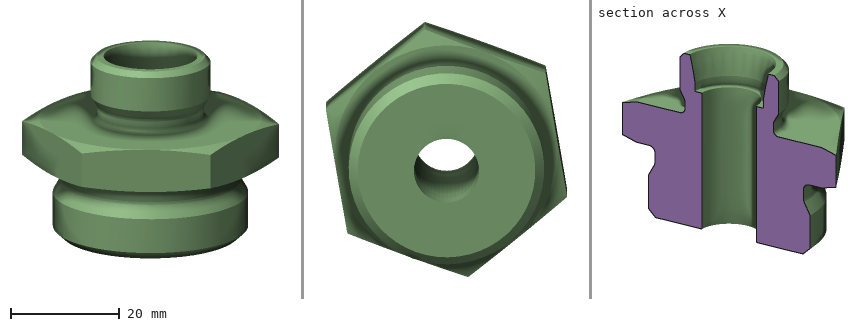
import cadquery as cq
import math

lower_chamfer_top = 1.5
lower_thread_top = 8.0
lower_neck_start = 10.6
hex_bottom = 13.95
hex_top = 22.05
upper_neck_end = 24.6
upper_thread_bottom = 26.6
overall_height = 34.0

hex_across_corners = 47.35
lower_thread_diameter = 36.0
lower_end_diameter = 32.65
lower_neck_diameter = 33.0
upper_thread_diameter = 22.0
upper_neck_diameter = 19.7

upper_chamfer = 1.0
lower_neck_fillet = 1.2
upper_neck_fillet = 1.0
neck_blend_radius = 1.0
hex_chamfer_angle = 15.0

bore_diameter = 12.0
tube_diameter = 15.0
socket_mouth_diameter = 17.3
socket_depth = 7.0
socket_half_angle = 12.0

hex_across_flats = hex_across_corners * math.cos(math.radians(30))


def revolve(outline):
    """Revolve a closed (radius, height) outline about Z."""
    return cq.Workplane("XZ").polyline(outline).close().revolve(360, (0, 0), (0, 1))


def edges_at(body, diameter, height):
    """Select the circular edge of a given diameter and height."""
    return body.edges("%CIRCLE").filter(
        lambda edge: abs(edge.Center().z - height) < 0.005
        and abs(edge.radius() - diameter / 2) < 0.005
    )


def make_hexagon():
    """Hexagon with corners on Y and conical chamfers on both faces."""
    prism = (
        cq.Workplane("XY", origin=(0, 0, hex_bottom))
        .polygon(6, hex_across_corners)
        .extrude(hex_top - hex_bottom)
        .rotate((0, 0, 0), (0, 0, 1), 30)
    )
    inner = hex_across_flats / 2
    outer = hex_across_corners / 2
    drop = (outer - inner) * math.tan(math.radians(hex_chamfer_angle))
    envelope = revolve([
        (0, hex_bottom),
        (inner, hex_bottom),
        (outer, hex_bottom + drop),
        (outer, hex_top - drop),
        (inner, hex_top),
        (0, hex_top),
    ])
    return prism.intersect(envelope)


def make_lower_end():
    """Large threaded end, tapering in to the neck under the hexagon."""
    body = revolve([
        (0, 0),
        (lower_end_diameter / 2, 0),
        (lower_thread_diameter / 2, lower_chamfer_top),
        (lower_thread_diameter / 2, lower_thread_top),
        (lower_neck_diameter / 2, lower_neck_start),
        (lower_neck_diameter / 2, hex_bottom),
        (0, hex_bottom),
    ])
    return edges_at(body, lower_neck_diameter, lower_neck_start).fillet(neck_blend_radius)


def make_upper_end():
    """Small threaded end, tapering in to the neck above the hexagon."""
    thread_radius = upper_thread_diameter / 2
    body = revolve([
        (0, hex_top),
        (upper_neck_diameter / 2, hex_top),
        (upper_neck_diameter / 2, upper_neck_end),
        (thread_radius, upper_thread_bottom),
        (thread_radius, overall_height - upper_chamfer),
        (thread_radius - upper_chamfer, overall_height),
        (0, overall_height),
    ])
    return edges_at(body, upper_neck_diameter, upper_neck_end).fillet(neck_blend_radius)


def make_passage():
    """Through bore with a stepped conical tube socket at the top."""
    mouth_radius = socket_mouth_diameter / 2
    tube_radius = tube_diameter / 2
    cone_depth = (mouth_radius - tube_radius) / math.tan(math.radians(socket_half_angle))
    floor = overall_height - socket_depth
    return revolve([
        (0, 0),
        (bore_diameter / 2, 0),
        (bore_diameter / 2, floor),
        (tube_radius, floor),
        (tube_radius, overall_height - cone_depth),
        (mouth_radius, overall_height),
        (0, overall_height),
    ])


body = make_hexagon().union(make_lower_end()).union(make_upper_end())
body = edges_at(body, lower_neck_diameter, hex_bottom).fillet(lower_neck_fillet)
body = edges_at(body, upper_neck_diameter, hex_top).fillet(upper_neck_fillet)
result = body.cut(make_passage())